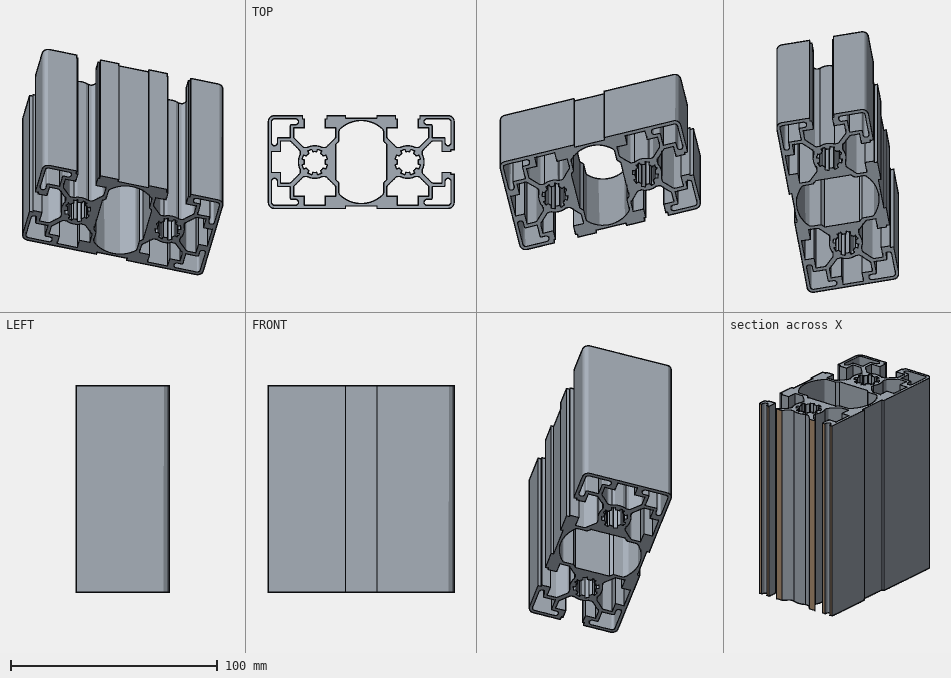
import cadquery as cq


cell_size = 45.0
width = 2 * cell_size
depth = cell_size
length = 100.0
corner_radius = 3.0
half_cell = cell_size / 2
core_x = half_cell
skin = 1.6

mouth_half_width = 5.0
recess_half_width = 5.85
recess_depth = 1.6
lip_height = 16.5
chamber_half_width = 10.15
chamber_shoulder = 11.75
chamber_floor = 7.1
chamber_fillet = 1.5
floor_fillet = 1.5
core_outer_radius = 7.95

core_hole_radius = 5.0
notch_count = 8
notch_outer_radius = 6.2
notch_width = 2.0

arm_inner = 4.4
hollow_inner = 10.65
arm_reach = 14.6
hollow_fillet = 1.5
arm_fillet = 0.6

cavity_neck_half_width = 10.8
cavity_waist_half_width = 12.3
cavity_waist_half_height = 8.6
cavity_arc_start = 15.4
cavity_half_height = 20.05
cavity_fillet = 2.0

groove_width = 15.0
groove_depth = 1.2


def prism(sketch):
    """Extrude a closed outline over the full length."""
    return sketch.extrude(length)


def body():
    """Solid rectangular bar with rounded long edges."""
    return prism(cq.Workplane("XY").rect(width, depth)).edges("|Z").fillet(corner_radius)


def vertical_edges_at(solid, points):
    """Select the edges along Z that pass through the given points."""
    selected = solid.newObject([])
    for x, y in points:
        selected = selected.add(solid.edges(cq.selectors.NearestToPointSelector((x, y, length / 2))))
    return selected


def t_slot(is_open):
    """T-slot opening towards +Y with the cell centre at the origin."""
    slope = chamber_shoulder - chamber_floor
    floor_half_width = chamber_half_width - slope
    mouth_end = half_cell if is_open else half_cell - skin
    half_outline = [
        (floor_half_width, chamber_floor),
        (chamber_half_width, chamber_shoulder),
        (chamber_half_width, lip_height),
        (mouth_half_width, lip_height),
        (mouth_half_width, mouth_end),
    ]
    mirrored = [(-x, y) for x, y in reversed(half_outline)]
    slot = prism(cq.Workplane("XY").polyline(half_outline + mirrored).close())
    floor_corners = [(side * floor_half_width, chamber_floor) for side in (-1, 1)]
    shoulders = [(side * chamber_half_width, chamber_shoulder) for side in (-1, 1)]
    slot = vertical_edges_at(slot, floor_corners).fillet(floor_fillet)
    slot = vertical_edges_at(slot, shoulders).fillet(chamber_fillet)
    slot = slot.cut(prism(cq.Workplane("XY").circle(core_outer_radius)))
    if is_open:
        recess = cq.Workplane("XY").center(0, half_cell - recess_depth / 2)
        slot = slot.union(prism(recess.rect(2 * recess_half_width, recess_depth)))
    return slot


def place_slot(is_open, turn, x):
    """Turn a T-slot about its cell centre and move it to the cell at x."""
    return t_slot(is_open).rotate((0, 0, 0), (0, 0, 1), turn).translate((x, 0, 0))


def core_hole():
    """Round hole with evenly spaced notches, centred on the origin."""
    hole = prism(cq.Workplane("XY").circle(core_hole_radius))
    step = 360 / notch_count
    for index in range(notch_count):
        outline = cq.Workplane("XY").center(notch_outer_radius / 2, 0)
        notch = prism(outline.rect(notch_outer_radius, notch_width))
        hole = hole.union(notch.rotate((0, 0, 0), (0, 0, 1), (index + 0.5) * step))
    return hole


def corner_hollow():
    """L-shaped hollow with round-ended arms, for an outer corner at the origin, lying in +X +Y."""
    tip_radius = (arm_inner - skin) / 2
    arm_middle = skin + tip_radius
    arm_end = arm_reach - tip_radius
    hollow = prism(
        cq.Workplane("XY")
        .moveTo(skin, skin)
        .lineTo(arm_end, skin)
        .threePointArc((arm_reach, arm_middle), (arm_end, arm_inner))
        .lineTo(hollow_inner, arm_inner)
        .lineTo(hollow_inner, hollow_inner)
        .lineTo(arm_inner, hollow_inner)
        .lineTo(arm_inner, arm_end)
        .threePointArc((arm_middle, arm_reach), (skin, arm_end))
        .close()
    )
    hollow = vertical_edges_at(hollow, [(skin, skin)]).fillet(hollow_fillet)
    arm_corners = [(hollow_inner, arm_inner), (arm_inner, hollow_inner)]
    return vertical_edges_at(hollow, arm_corners).fillet(arm_fillet)


def central_cavity():
    """Cavity with domed ends and a wider waist."""
    waist_step = cavity_waist_half_width - cavity_neck_half_width
    neck_start = cavity_waist_half_height + waist_step
    cavity = prism(
        cq.Workplane("XY")
        .moveTo(cavity_waist_half_width, -cavity_waist_half_height)
        .lineTo(cavity_waist_half_width, cavity_waist_half_height)
        .lineTo(cavity_neck_half_width, neck_start)
        .lineTo(cavity_neck_half_width, cavity_arc_start)
        .threePointArc((0, cavity_half_height), (-cavity_neck_half_width, cavity_arc_start))
        .lineTo(-cavity_neck_half_width, neck_start)
        .lineTo(-cavity_waist_half_width, cavity_waist_half_height)
        .lineTo(-cavity_waist_half_width, -cavity_waist_half_height)
        .lineTo(-cavity_neck_half_width, -neck_start)
        .lineTo(-cavity_neck_half_width, -cavity_arc_start)
        .threePointArc((0, -cavity_half_height), (cavity_neck_half_width, -cavity_arc_start))
        .lineTo(cavity_neck_half_width, -neck_start)
        .close()
    )
    dome_corners = [
        (x_side * cavity_neck_half_width, y_side * cavity_arc_start)
        for x_side in (-1, 1)
        for y_side in (-1, 1)
    ]
    return vertical_edges_at(cavity, dome_corners).fillet(cavity_fillet)


def side_groove(side):
    """Shallow groove on the +Y (side = 1) or -Y (side = -1) face."""
    middle = side * (depth - groove_depth) / 2
    return prism(cq.Workplane("XY").center(0, middle).rect(groove_width, groove_depth))


result = body()

for cell_x in (-core_x, core_x):
    result = result.cut(core_hole().translate((cell_x, 0, 0)))
    result = result.cut(place_slot(True, 0, cell_x))
    result = result.cut(place_slot(False, 180, cell_x))

result = result.cut(place_slot(False, 90, -core_x))
result = result.cut(place_slot(True, -90, core_x))

lower_left = corner_hollow().translate((-width / 2, -depth / 2, 0))
lower_right = lower_left.mirror("YZ")
for hollow in (lower_left, lower_right):
    result = result.cut(hollow).cut(hollow.mirror("XZ"))

result = result.cut(central_cavity())

for side in (-1, 1):
    result = result.cut(side_groove(side))